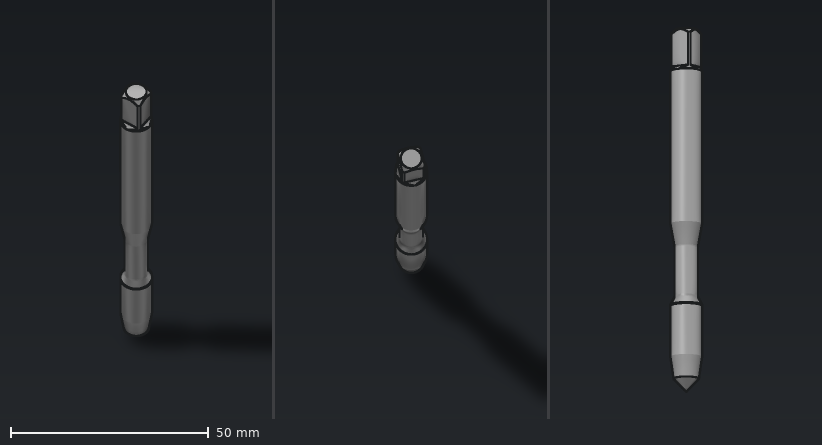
import cadquery as cq


body_dia = 8.1
neck_dia = 6.0
drive_corner_dia = 7.7
point_dia = 6.5
drive_flats = 6.0

body_radius = body_dia / 2
neck_radius = neck_dia / 2
drive_corner_radius = drive_corner_dia / 2
point_radius = point_dia / 2

total_length = 93.1
point_height = 3.35
lead_top = 8.9
cutting_top = 22.1
collar_top = 22.3
neck_bottom = 24.4
neck_top = 37.15
shank_bottom = 43.1
shank_top = 82.4
flats_bottom = 83.4

shank_chamfer = body_radius - drive_corner_radius
drive_chamfer = 1.2
neck_bottom_fillet = 1.1
neck_top_fillet = 1.9


def revolve_profile(points):
    """Turn (radius, height) points around the Z axis."""
    return cq.Workplane("XZ").polyline(points).close().revolve(360, (0, 0, 0), (0, 1, 0))


def fillet_neck_end(body, height, radius):
    """Round the circular corner where the neck meets a cone at the given height."""
    margin = 0.1
    corner = cq.selectors.BoxSelector(
        (-body_radius, -body_radius, height - margin),
        (body_radius, body_radius, height + margin),
    )
    return body.edges(corner).edges("%CIRCLE").fillet(radius)


def make_square_envelope():
    """Square bar for the drive, widening downward at 45 degrees to clear the shank below."""
    ramp_height = 1.9
    wide_side = drive_flats + 2 * ramp_height
    bar = (
        cq.Workplane("XY", origin=(0, 0, flats_bottom))
        .rect(drive_flats, drive_flats)
        .extrude(total_length - flats_bottom)
    )
    ramps = (
        cq.Workplane("XY", origin=(0, 0, flats_bottom - ramp_height))
        .rect(wide_side, wide_side)
        .workplane(offset=ramp_height)
        .rect(drive_flats, drive_flats)
        .loft(ruled=True)
    )
    lower_bar = (
        cq.Workplane("XY", origin=(0, 0, cutting_top))
        .rect(wide_side, wide_side)
        .extrude(flats_bottom - ramp_height - cutting_top)
    )
    return bar.union(ramps).union(lower_bar)


def make_shank():
    """Collar, neck, cone, shank and square drive as one solid."""
    turned = revolve_profile([
        (0, cutting_top),
        (body_radius, cutting_top),
        (body_radius, collar_top),
        (neck_radius, neck_bottom),
        (neck_radius, neck_top),
        (body_radius, shank_bottom),
        (body_radius, shank_top),
        (drive_corner_radius, shank_top + shank_chamfer),
        (drive_corner_radius, total_length - drive_chamfer),
        (drive_corner_radius - drive_chamfer, total_length),
        (0, total_length),
    ])
    turned = fillet_neck_end(turned, neck_bottom, neck_bottom_fillet)
    turned = fillet_neck_end(turned, neck_top, neck_top_fillet)
    return turned.intersect(make_square_envelope()).solids()


def make_cutting_end():
    """Plain cylinder with a tapered lead and a conical point."""
    return revolve_profile([
        (0, 0),
        (point_radius, point_height),
        (body_radius, lead_top),
        (body_radius, cutting_top),
        (0, cutting_top),
    ])


shank = make_shank()
cutting_end = make_cutting_end()

result = cq.Compound.makeCompound([shank.val(), cutting_end.val()])